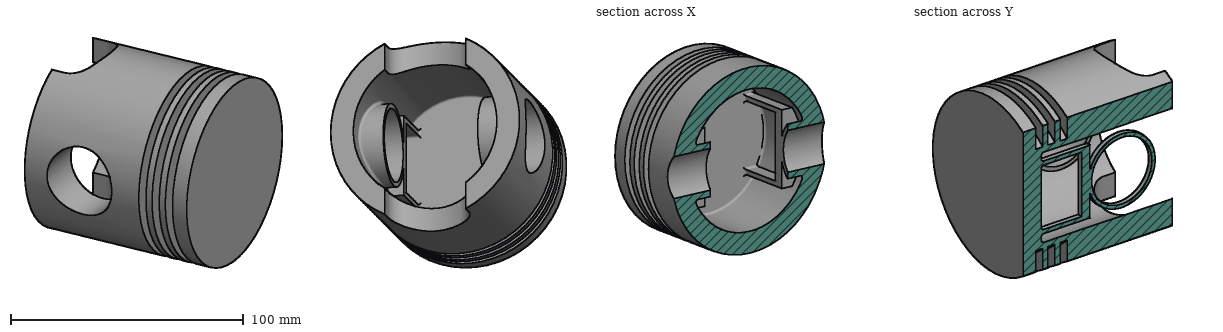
import cadquery as cq
import math

length = 80.0
outer_radius = 42.0
wall = 10.1
bore_radius = outer_radius - wall
bore_depth = length - wall
inner_fillet = 1.0

groove_count = 3
groove_radius = 34.0
groove_width = 3.5
ring_land = 3.0
crown_land = 7.0

pin_x = 27.05
pin_radius = 16.0
boss_radius = 18.0
boss_face_y = 21.0

web_start = pin_x + (pin_radius + boss_radius) / 2
web_window_start = 48.7
web_half_height = 17.7
web_leg_thickness = 2.3

notch_half_width = 18.0
notch_depth = 18.0
notch_end_radius = 30.0
notch_corner_radius = 10.0


def make_cylinder(radius, start, end):
    """Cylinder on the piston axis between two X positions."""
    return cq.Workplane("YZ", origin=(start, 0, 0)).circle(radius).extrude(end - start)


def make_block_pair(start, end, half_height):
    """Two mirrored blocks, from each boss face outwards."""
    whole = cq.Workplane("XY").box(end - start, 2 * outer_radius, 2 * half_height)
    gap = cq.Workplane("XY").box(end - start, 2 * boss_face_y, 2 * half_height)
    return whole.cut(gap).translate(((start + end) / 2, 0, 0))


def make_pin_cylinder(radius, half_length):
    """Cylinder on the pin axis, centred on the piston axis."""
    return cq.Workplane("XZ").center(pin_x, 0).circle(radius).extrude(half_length, both=True)


def make_cavity():
    """Blind bore with the space of the bosses and webs left out of it."""
    bosses = make_pin_cylinder(boss_radius, outer_radius).cut(make_pin_cylinder(boss_radius, boss_face_y))
    cavity = make_cylinder(bore_radius, 0, bore_depth).cut(bosses)

    reach = boss_radius + inner_fillet
    for side in (-1, 1):
        near_corner = (pin_x - reach, side * (boss_face_y + inner_fillet), -reach)
        far_corner = (pin_x + reach, side * outer_radius, reach)
        root_edges = cq.selectors.BoxSelector(near_corner, far_corner)
        cavity = cavity.edges(root_edges).fillet(inner_fillet)

    webs = make_block_pair(web_start, bore_depth, web_half_height)
    windows = make_block_pair(web_window_start, bore_depth, web_half_height - web_leg_thickness)
    cavity = cavity.cut(webs.cut(windows))

    return cavity.faces(">X").edges().fillet(inner_fillet)


def make_ring_grooves():
    grooves = cq.Workplane("XY")
    for index in range(groove_count):
        end = length - crown_land - index * (groove_width + ring_land)
        start = end - groove_width
        groove = make_cylinder(outer_radius, start, end).cut(make_cylinder(groove_radius, start, end))
        grooves = grooves.add(groove)
    return grooves.combine()


def make_notch():
    """Straight-sided notch with a shallow round end and tangent corner arcs."""
    corner_y = notch_half_width - notch_corner_radius
    end_centre_x = notch_depth - notch_end_radius
    tangent_angle = math.asin(corner_y / (notch_end_radius - notch_corner_radius))
    tangent_x = end_centre_x + notch_end_radius * math.cos(tangent_angle)
    tangent_y = notch_end_radius * math.sin(tangent_angle)

    corner_x = tangent_x - notch_corner_radius * math.cos(tangent_angle)
    mid_angle = (tangent_angle + math.pi / 2) / 2
    mid_x = corner_x + notch_corner_radius * math.cos(mid_angle)
    mid_y = corner_y + notch_corner_radius * math.sin(mid_angle)
    return (
        cq.Workplane("XY")
        .moveTo(0, -notch_half_width)
        .lineTo(corner_x, -notch_half_width)
        .threePointArc((mid_x, -mid_y), (tangent_x, -tangent_y))
        .threePointArc((notch_depth, 0), (tangent_x, tangent_y))
        .threePointArc((mid_x, mid_y), (corner_x, notch_half_width))
        .lineTo(0, notch_half_width)
        .close()
        .extrude(outer_radius, both=True)
    )


result = (
    make_cylinder(outer_radius, 0, length)
    .cut(make_cavity())
    .cut(make_ring_grooves())
    .cut(make_notch())
    .cut(make_pin_cylinder(pin_radius, outer_radius))
)